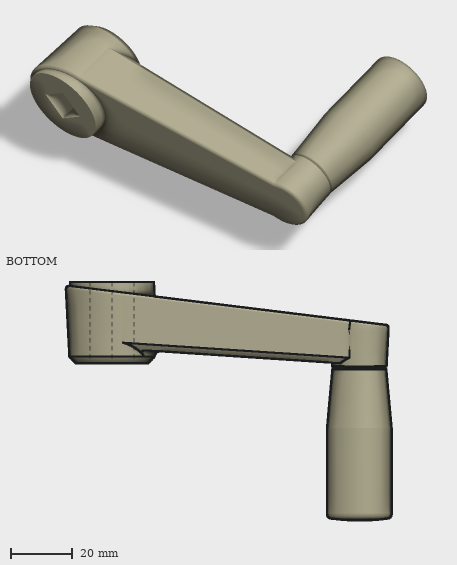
import cadquery as cq
import math

overall_length = 105.5
overall_depth = 77.2
draft = 3.0
grip_diameter = 21.0
grip_radius = grip_diameter / 2
hub_reach = 15.0
throw = overall_length - hub_reach - grip_radius
big = 105.5

hub_base_radius = 15.1
hub_top = 26.4
hub_chamfer = 2.2
foot_radius = 13.6
foot_length = 6.3
square_bore = 10.0

arm_front_at_hub = 3.0
arm_front_angle = 7.0
arm_back_at_hub = 21.4
arm_back_angle = 3.8
arm_half_width_hub = 14.9
arm_half_width_end = 9.5
arm_start = 1.1
arm_chamfer = 2.0
front_edge_fillet = 1.1
hub_joint_fillet = 1.6

boss_radius = 9.5
boss_cone_start = 15.2
boss_top = 27.3

neck_diameter = 10.0
neck_radius = neck_diameter / 2
neck_embed = 1.1
grip_bottom = 27.6
grip_bottom_chamfer = 0.6
grip_small_radius = 8.8
grip_cone_top = 47.4
grip_rim = 76.4
grip_rim_fillet = 1.6

draft_slope = math.tan(math.radians(draft))
along_y = cq.Plane(origin=(0, 0, 0), xDir=(1, 0, 0), normal=(0, 1, 0))


def slope_at(start, angle, x):
    """Y of a face that starts at the hub axis and rises along X."""
    return start + x * math.tan(math.radians(angle))


def revolve_about_y(profile, axis_x=0):
    """Revolve a closed radius / Y outline about a Y-parallel axis."""
    return profile.close().revolve(360, (0, 0, 0), (0, 1, 0)).translate((axis_x, 0, 0))


def make_hub():
    chamfer_start = hub_top - hub_chamfer
    shoulder_radius = hub_base_radius - chamfer_start * draft_slope
    profile = cq.Workplane("XY").polyline([
        (0, 0),
        (hub_base_radius, 0),
        (shoulder_radius, chamfer_start),
        (shoulder_radius - hub_chamfer, hub_top),
        (0, hub_top),
    ])
    return revolve_about_y(profile).rotate((0, 0, 0), (0, 1, 0), 180)


def make_boss():
    top_radius = boss_radius - (boss_top - boss_cone_start) * draft_slope
    profile = cq.Workplane("XY").polyline([
        (0, 0),
        (boss_radius, 0),
        (boss_radius, boss_cone_start),
        (top_radius, boss_top),
        (0, boss_top),
    ])
    return revolve_about_y(profile, throw)


def make_arm():
    half_width_slope = (arm_half_width_end - arm_half_width_hub) / throw
    half_width_start = arm_half_width_hub + arm_start * half_width_slope
    blank = (
        cq.Workplane(along_y)
        .polyline([
            (arm_start, half_width_start),
            (throw, arm_half_width_end),
            (throw, -arm_half_width_end),
            (arm_start, -half_width_start),
        ])
        .close()
        .extrude(overall_depth, taper=draft)
    )
    side_outline = (
        cq.Workplane("XY")
        .polyline([
            (0, 0),
            (throw, 0),
            (throw, slope_at(arm_back_at_hub, arm_back_angle, throw)),
            (0, arm_back_at_hub),
        ])
        .close()
        .extrude(big, both=True)
    )
    arm = blank.intersect(side_outline)
    return arm.faces(">Y").edges(">Z or <Z").chamfer(arm_chamfer)


def trim_front(body, rim):
    """Cut the body at the sloping front face and round the chosen rim edges."""
    block = (
        cq.Workplane("XY")
        .polyline([
            (-big, slope_at(arm_front_at_hub, arm_front_angle, -big)),
            (-big, -big),
            (2 * big, -big),
            (2 * big, slope_at(arm_front_at_hub, arm_front_angle, 2 * big)),
        ])
        .close()
        .extrude(big, both=True)
    )
    return body.cut(block).faces("<Y").edges(rim).fillet(front_edge_fillet)


def make_foot():
    return cq.Workplane(along_y).circle(foot_radius).extrude(foot_length, taper=-draft)


def make_square_bore():
    """Square drive hole through the hub, standing on one corner."""
    return (
        cq.Workplane(along_y)
        .rect(square_bore, square_bore)
        .extrude(hub_top)
        .rotate((0, 0, 0), (0, 1, 0), 45)
    )


def make_grip():
    profile = (
        cq.Workplane("XY")
        .moveTo(0, boss_top - neck_embed)
        .lineTo(neck_radius, boss_top - neck_embed)
        .lineTo(neck_radius, grip_bottom)
        .lineTo(grip_small_radius - grip_bottom_chamfer, grip_bottom)
        .lineTo(grip_small_radius, grip_bottom + grip_bottom_chamfer)
        .lineTo(grip_radius, grip_cone_top)
        .lineTo(grip_radius, grip_rim)
    )
    rise = overall_depth - grip_rim
    sphere_radius = (grip_radius ** 2 + rise ** 2) / (2 * rise)
    half_x = grip_radius / 2
    half_y = overall_depth - sphere_radius + math.sqrt(sphere_radius ** 2 - half_x ** 2)
    profile = profile.threePointArc((half_x, half_y), (0, overall_depth))
    grip = revolve_about_y(profile, throw)
    return grip.faces("%CYLINDER").edges(">Y").fillet(grip_rim_fillet)


hub = trim_front(make_hub(), "%ELLIPSE")
arm = trim_front(make_arm(), ">Z or <Z")
boss = trim_front(make_boss(), "%ELLIPSE")

hub_and_arm = hub.union(arm)
joint_radius = hub_base_radius - arm_back_at_hub * draft_slope
joint_point = (joint_radius, slope_at(arm_back_at_hub, arm_back_angle, joint_radius), 0)
hub_and_arm = hub_and_arm.edges(cq.selectors.NearestToPointSelector(joint_point)).fillet(hub_joint_fillet)

result = hub_and_arm.union(boss).union(make_foot()).union(make_grip()).cut(make_square_bore())